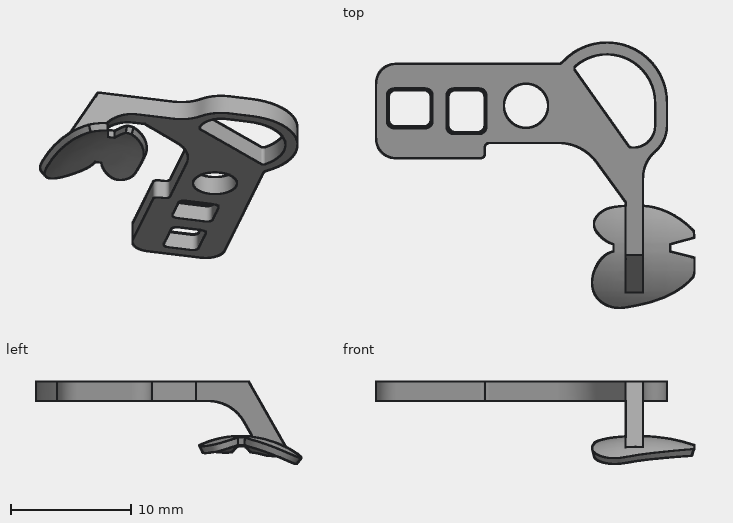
import cadquery as cq
import math

thickness = 1.65
arm_width = 7.87
arm_corner_radius = 1.65
step_x = 9.05
step_y = 1.27
step_radius = 0.37
hole_diameter = 3.65
hole_center = (12.48, 4.37)

window_top = 5.83
window_long = 3.81
window_short = 3.35
windows = [
    (0.9, window_top, window_long, window_short),
    (5.85, window_top, window_short, window_long),
]
window_corner_radius = 0.48
window_chamfer = 0.19

ring_center = (19.2, 4.64)
ring_radius = 5.0
ring_wall = 1.0
ring_end_radius = 2.8
ring_end_y = 2.7
ring_right = ring_center[0] + ring_radius
ring_end_x = ring_right - ring_end_radius
opening_radius = ring_radius - ring_wall
opening_end_radius = ring_end_radius - ring_wall
opening_corner_radius = 0.26
ring_neck_radius = 0.4

stem_left = 20.77
stem_width = 1.45
stem_right = stem_left + stem_width
stem_root_y = -1.6
stem_top_end_y = -8.05
stem_bend_start_y = -4.7
stem_bend_radius = 3.42
stem_angle = math.radians(60.4)

gusset_angle = math.radians(54)
gusset_arc_start_x = 15.18
gusset_arc_radius = 3.92

pad_crown = (21.72, -7.42, -2.9)
pad_radius_along_y = 8.08
pad_radius_along_x = 15.9
pad_thickness = 0.64


def arc_point(center, radius, angle):
    """Point on a circle, with the angle in radians."""
    return (center[0] + radius * math.cos(angle), center[1] + radius * math.sin(angle))


def make_arm():
    neck_angle = math.pi - math.asin((arm_width - ring_center[1]) / ring_radius)
    ring_start = arc_point(ring_center, ring_radius, neck_angle)
    ring_middle = arc_point(ring_center, ring_radius, neck_angle / 2)

    end_center = (ring_end_x, ring_end_y)
    rise = ring_end_y - stem_root_y
    gap = stem_right - ring_end_x
    blend_radius = (gap**2 + rise**2 - ring_end_radius**2) / (2 * (ring_end_radius - gap))
    blend_center = (stem_right + blend_radius, stem_root_y)
    blend_angle = math.atan2(-rise, blend_center[0] - ring_end_x)
    ring_end = arc_point(end_center, ring_end_radius, blend_angle)
    ring_end_middle = arc_point(end_center, ring_end_radius, blend_angle / 2)
    blend_middle = arc_point(blend_center, blend_radius, math.pi + blend_angle / 2)

    gusset_center = (gusset_arc_start_x, step_y - gusset_arc_radius)
    gusset_middle = arc_point(gusset_center, gusset_arc_radius, math.pi / 2 - gusset_angle / 2)
    gusset_end = arc_point(gusset_center, gusset_arc_radius, math.pi / 2 - gusset_angle)
    gusset_foot_y = gusset_end[1] - (stem_left - gusset_end[0]) * math.tan(gusset_angle)

    arm = (
        cq.Workplane("XY")
        .lineTo(0, arm_width)
        .lineTo(*ring_start)
        .threePointArc(ring_middle, (ring_right, ring_center[1]))
        .lineTo(ring_right, ring_end_y)
        .threePointArc(ring_end_middle, ring_end)
        .threePointArc(blend_middle, (stem_right, stem_root_y))
        .lineTo(stem_right, gusset_foot_y)
        .lineTo(stem_left, gusset_foot_y)
        .lineTo(*gusset_end)
        .threePointArc(gusset_middle, (gusset_arc_start_x, step_y))
        .lineTo(step_x, step_y)
        .lineTo(step_x, 0)
        .close()
        .extrude(thickness)
    )
    arm = arm.edges("|Z and <X").fillet(arm_corner_radius)
    for x, y, radius in [
        (step_x, 0, step_radius),
        (step_x, step_y, step_radius),
        (*ring_start, ring_neck_radius),
    ]:
        arm = arm.edges(cq.NearestToPointSelector((x, y, thickness / 2))).fillet(radius)
    return arm


def make_ring_opening():
    upper_corner_x = 16.42
    lower_corner_x = 21.09
    start_angle = math.acos((upper_corner_x - ring_center[0]) / opening_radius)
    start = arc_point(ring_center, opening_radius, start_angle)
    middle = arc_point(ring_center, opening_radius, start_angle / 2)
    end_center = (ring_end_x, ring_end_y)
    end_angle = -math.acos((lower_corner_x - ring_end_x) / opening_end_radius)
    end = arc_point(end_center, opening_end_radius, end_angle)
    end_middle = arc_point(end_center, opening_end_radius, end_angle / 2)
    inner_right = ring_right - ring_wall
    opening = (
        cq.Workplane("XY")
        .moveTo(*start)
        .threePointArc(middle, (inner_right, ring_center[1]))
        .lineTo(inner_right, ring_end_y)
        .threePointArc(end_middle, end)
        .close()
        .extrude(thickness)
    )
    for x, y in (start, end):
        corner = cq.NearestToPointSelector((x, y, thickness / 2))
        opening = opening.edges(corner).fillet(opening_corner_radius)
    return opening


def cut_window(body, left, top, width, height):
    center = (left + width / 2, top - height / 2)
    inner_width = width - 2 * window_chamfer
    inner_height = height - 2 * window_chamfer
    window = (
        cq.Workplane("XY")
        .center(*center)
        .rect(inner_width, inner_height)
        .extrude(thickness)
        .edges("|Z")
        .fillet(window_corner_radius)
    )
    top_rim = cq.selectors.BoxSelector(
        (left, top - height, thickness - window_chamfer),
        (left + width, top, thickness + window_chamfer),
    )
    return body.cut(window).faces(">Z").edges(top_rim).chamfer(window_chamfer)


def make_stem():
    foot_radius = pad_radius_along_y - pad_thickness / 2
    dome_center = (pad_crown[1], pad_crown[2] - pad_radius_along_y)
    bend_center = (stem_bend_start_y, -stem_bend_radius)
    bend_end = arc_point(bend_center, stem_bend_radius, math.pi / 2 + stem_angle)
    bend_middle = arc_point(bend_center, stem_bend_radius, math.pi / 2 + stem_angle / 2)

    def foot_point(start):
        """Where the slanted line through start meets the buried foot arc."""
        direction = (-math.cos(stem_angle), -math.sin(stem_angle))
        offset = (start[0] - dome_center[0], start[1] - dome_center[1])
        along = offset[0] * direction[0] + offset[1] * direction[1]
        excess = offset[0]**2 + offset[1]**2 - foot_radius**2
        travel = -along - math.sqrt(along**2 - excess)
        return (start[0] + travel * direction[0], start[1] + travel * direction[1])

    back_foot = foot_point(bend_end)
    front_foot = foot_point((stem_top_end_y, thickness))
    foot_angle = sum(
        math.atan2(z - dome_center[1], y - dome_center[0]) for y, z in (back_foot, front_foot)
    ) / 2
    return (
        cq.Workplane("YZ", origin=(stem_left, 0, 0))
        .moveTo(stem_root_y, thickness)
        .lineTo(stem_root_y, 0)
        .lineTo(stem_bend_start_y, 0)
        .threePointArc(bend_middle, bend_end)
        .lineTo(*back_foot)
        .threePointArc(arc_point(dome_center, foot_radius, foot_angle), front_foot)
        .lineTo(stem_top_end_y, thickness)
        .close()
        .extrude(stem_width)
    )


def make_pad():
    notch_back_y = -7.15
    notch_front_y = -7.74
    back_lobe = [
        (25.05, -4.9), (22.78, -4.0), (21.4, -3.92), (20.03, -4.0),
        (18.85, -4.37), (18.12, -5.35), (19.35, -7.0), (19.74, notch_back_y),
    ]
    front_lobe = [
        (18.91, -8.15), (18.25, -9.09), (17.95, -10.17), (18.23, -11.4),
        (19.85, -12.42), (21.32, -12.32), (23.42, -11.8), (24.53, -11.3), (26.4, -9.85),
    ]
    outline_depth = 7.95
    outline = (
        cq.Workplane("XY", origin=(0, 0, -outline_depth))
        .moveTo(24.48, notch_back_y)
        .lineTo(26.5, -6.6)
        .lineTo(26.45, -6.05)
        .spline(back_lobe, includeCurrent=True)
        .lineTo(19.74, notch_front_y)
        .spline(front_lobe, includeCurrent=True)
        .lineTo(26.5, -9.48)
        .lineTo(26.5, -8.26)
        .lineTo(24.48, notch_front_y)
        .close()
        .extrude(outline_depth)
    )

    half_span = 6.62
    sag = pad_radius_along_y - math.sqrt(pad_radius_along_y**2 - half_span**2)
    dome = (
        cq.Workplane("YZ", origin=pad_crown)
        .moveTo(-half_span, -pad_radius_along_x)
        .lineTo(-half_span, -sag)
        .threePointArc((0, 0), (half_span, -sag))
        .lineTo(half_span, -pad_radius_along_x)
        .close()
        .revolve(360, (0, -pad_radius_along_x, 0), (1, -pad_radius_along_x, 0))
    )
    top_face = outline.intersect(dome).faces(">Z").val()
    return cq.Workplane("XY").add(top_face.thicken(-pad_thickness))


arm = make_arm().cut(make_ring_opening())
arm = arm.cut(cq.Workplane("XY").center(*hole_center).circle(hole_diameter / 2).extrude(thickness))
for window in windows:
    arm = cut_window(arm, *window)

result = arm.union(make_stem()).union(make_pad())